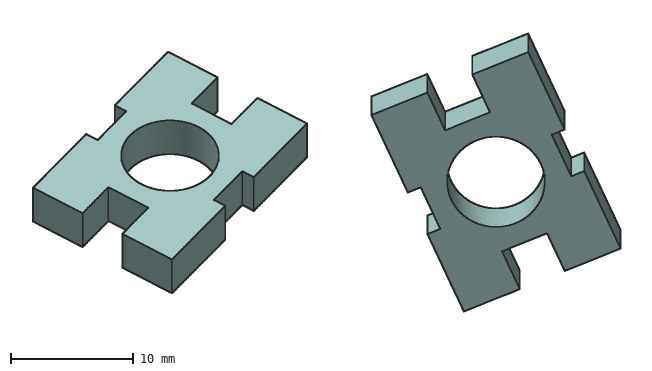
import cadquery as cq

width = 14.0
length = 19.0
thickness = 4.0
bore_diameter = 8.0
notch_width = 4.0
core_side = 11.7

end_notch_depth = (length - core_side) / 2
side_notch_depth = (width - core_side) / 2

plate = cq.Workplane("XY").box(width, length, thickness)
plate = plate.faces(">Z").workplane().hole(bore_diameter)


def notch(x_size, y_size, x_center, y_center):
    """Rectangular cutter running through the full thickness."""
    return cq.Workplane("XY").box(x_size, y_size, thickness).translate((x_center, y_center, 0))


for side in (-1, 1):
    end_center = side * (length - end_notch_depth) / 2
    side_center = side * (width - side_notch_depth) / 2
    plate = plate.cut(notch(notch_width, end_notch_depth, 0, end_center))
    plate = plate.cut(notch(side_notch_depth, notch_width, side_center, 0))

result = plate